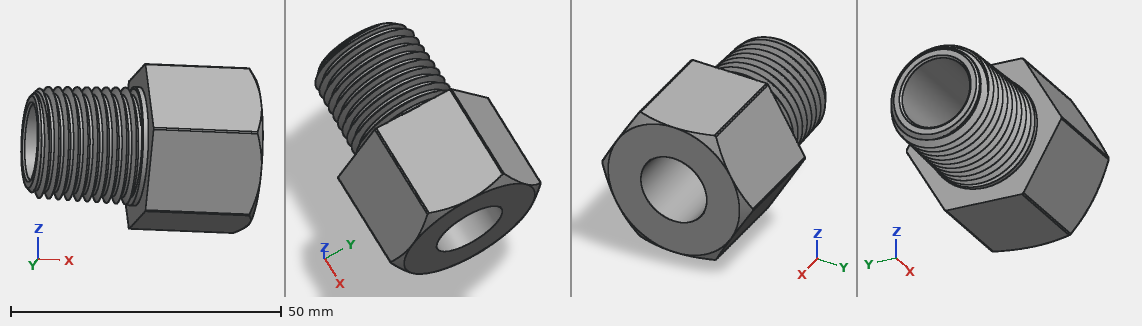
import cadquery as cq
import math

total_length = 41.2
hex_length = 21.0
collar_length = 0.95
hex_start = total_length - hex_length
collar_start = hex_start - collar_length

hex_sides = 6
across_flats = 27.9
corner_diameter = 32.0
end_chamfer_length = 1.4

collar_diameter = 22.0
bore_diameter = 14.0
bore_mouth_chamfer = 0.4

inch = 25.4
threads_per_inch = 14
thread_pitch = inch / threads_per_inch
thread_radius_slope = 1 / 32
root_radius_at_tip = 8.95
tooth_height = 1.31
tooth_base_width = 1.25
tooth_embed = 0.3
tip_face_radius = 8.55
first_full_crest = 2.095
turns_ahead = 2
helix_start = first_full_crest - turns_ahead * thread_pitch


def root_radius(x):
    return root_radius_at_tip + thread_radius_slope * x


def revolve_about_x(profile_points):
    """Solid of revolution from (x, radius) points."""
    return (
        cq.Workplane("XY")
        .polyline(profile_points)
        .close()
        .revolve(360, (0, 0, 0), (1, 0, 0))
    )


def make_hexagon():
    """Hexagonal body, flats facing +Z and -Z, corners turned and chamfered at the far end."""
    hexagon = (
        cq.Workplane("YZ", origin=(hex_start, 0, 0))
        .polygon(hex_sides, across_flats / math.cos(math.pi / hex_sides))
        .extrude(hex_length)
    )
    turned_envelope = revolve_about_x([
        (hex_start, 0),
        (hex_start, corner_diameter / 2),
        (total_length - end_chamfer_length, corner_diameter / 2),
        (total_length, across_flats / 2),
        (total_length, 0),
    ])
    return hexagon.intersect(turned_envelope)


def make_collar():
    return (
        cq.Workplane("YZ", origin=(collar_start, 0, 0))
        .circle(collar_diameter / 2)
        .extrude(collar_length)
    )


def make_thread_tooth():
    """Sharp V tooth on a right-hand conical helix, from ahead of the tip to inside the collar.

    It is swept about Z, starting on +X, then laid along X so that it starts on the -Z side.
    """
    helix_length = collar_start + collar_length / 2 - helix_start
    start_radius = root_radius(helix_start)
    helix = cq.Wire.makeHelix(
        thread_pitch,
        helix_length,
        start_radius,
        angle=math.degrees(math.atan(thread_radius_slope)),
    )
    half_base = tooth_base_width / 2
    half_foot = half_base * (tooth_height + tooth_embed) / tooth_height
    tooth = (
        cq.Workplane("XZ")
        .polyline([
            (start_radius - tooth_embed, -half_foot),
            (start_radius + tooth_height, 0),
            (start_radius - tooth_embed, half_foot),
        ])
        .close()
        .sweep(cq.Workplane(obj=helix), isFrenet=True)
    )
    return (
        tooth
        .rotate((0, 0, 0), (0, 1, 0), 90)
        .translate((helix_start, 0, 0))
    )


def make_threaded_shank():
    """Tapered core with its tooth, trimmed by the 45 degree lead-in cone at the tip."""
    core = revolve_about_x([
        (0, 0),
        (0, root_radius(0)),
        (hex_start, root_radius(hex_start)),
        (hex_start, 0),
    ])
    lead_in_length = collar_diameter / 2 - tip_face_radius
    envelope = revolve_about_x([
        (0, 0),
        (0, tip_face_radius),
        (lead_in_length, collar_diameter / 2),
        (hex_start, collar_diameter / 2),
        (hex_start, 0),
    ])
    return core.union(make_thread_tooth()).intersect(envelope)


def make_bore():
    """Through bore with a chamfered mouth at the threaded tip."""
    bore_radius = bore_diameter / 2
    return revolve_about_x([
        (0, 0),
        (0, bore_radius + bore_mouth_chamfer),
        (bore_mouth_chamfer, bore_radius),
        (total_length, bore_radius),
        (total_length, 0),
    ])


result = make_threaded_shank().union(make_collar()).union(make_hexagon()).cut(make_bore())